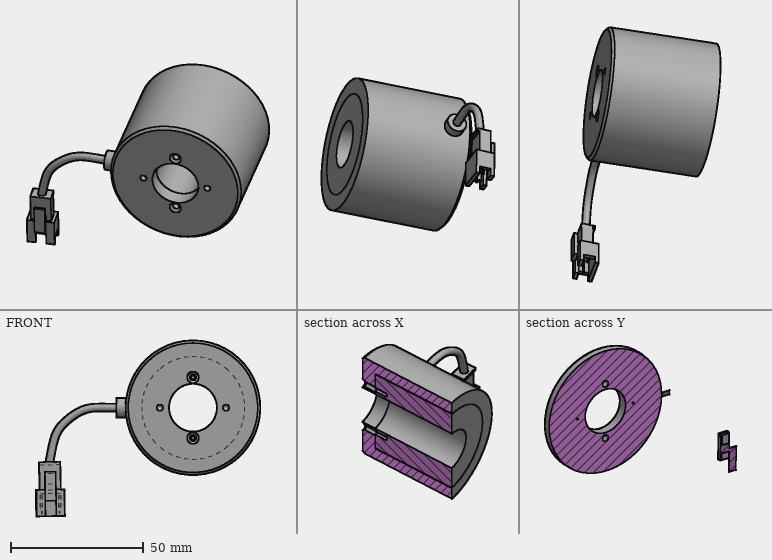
import cadquery as cq
import math

HOUSING_RADIUS = 25.5
HOUSING_LENGTH = 42.0
HOUSING_CHAMFER = 1.0
WALL = 6.0
BORE_RADIUS = 9.0

CORE_RADIUS = HOUSING_RADIUS - WALL
CORE_LENGTH = HOUSING_LENGTH - WALL

SIDE_HOLE_OFFSET = 12.5
SIDE_HOLE_RADIUS = 1.2
SIDE_HOLE_DEPTH = 3.4

SCREW_OFFSET = 11.5
SCREW_HOLE_RADIUS = 1.2
COUNTERSINK_RADIUS = 2.2
COUNTERSINK_DEPTH = COUNTERSINK_RADIUS - SCREW_HOLE_RADIUS
PILOT_RADIUS = 0.8
PILOT_DEPTH = 5.1
DRILL_TIP_HALF_ANGLE = 59.0

CABLE_Y = 7.55
GLAND_RADIUS = 3.7
GLAND_END_X = -28.95
CABLE_RADIUS = 1.5
CABLE_BEND_POINTS = [(-42.4, -1.3), (-48.8, -5.9)]
CABLE_END_LEAN = 10.0
CABLE_OVERRUN = 0.85

CONNECTOR_X = -54.2
CONNECTOR_TOP_Z = -20.5
CONNECTOR_YAW = 2.5
CONNECTOR_ROLL = -1.1

NECK_WIDTH = 8.0
NECK_FRONT = -2.7
NECK_REAR = 1.8
NECK_HEIGHT = 10.4
LIP_REAR = -NECK_FRONT
LIP_HEIGHT = 1.0

SHELL_WIDTH = 10.6
SHELL_DEPTH = 7.3
SHELL_HEIGHT = 10.1
SHELL_WALL = 1.45
SHELL_FRONT = -SHELL_DEPTH / 2
SHELL_BOTTOM = -NECK_HEIGHT - SHELL_HEIGHT
CAVITY_WIDTH = SHELL_WIDTH - 2 * SHELL_WALL
CAVITY_DEPTH = SHELL_DEPTH - 2 * SHELL_WALL
CAVITY_TOP = -NECK_HEIGHT - SHELL_WALL
NOTCH_HEIGHT = 3.0

LATCH_WIDTH = 4.1
LATCH_THICKNESS = 1.45
LATCH_TOP = -3.7
LATCH_HEIGHT = 10.95
LATCH_CHAMFER = 0.5
BRIDGE_HEIGHT = 2.1

PIN_SIZE = 0.5
PIN_OFFSET = 3.3
PIN_RECESS = 1.3


def y_cylinder(radius, start, length, x=0.0, z=0.0):
    """Cylinder along +Y from Y = start."""
    return cq.Workplane(cq.Solid.makeCylinder(radius, length, cq.Vector(x, start, z), cq.Vector(0, 1, 0)))


def y_cone(start_radius, end_radius, start, length, x=0.0, z=0.0):
    """Cone along +Y from Y = start."""
    return cq.Workplane(
        cq.Solid.makeCone(start_radius, end_radius, length, cq.Vector(x, start, z), cq.Vector(0, 1, 0))
    )


def drilled_hole(radius, start, depth, x=0.0, z=0.0):
    """Blind hole along +Y with a conical bottom."""
    tip_length = radius / math.tan(math.radians(DRILL_TIP_HALF_ANGLE))
    tip = y_cone(radius, 0, start + depth, tip_length, x, z)
    return y_cylinder(radius, start, depth, x, z).union(tip)


def block(width, y_range, z_range):
    """Box centred on X = 0 between two Y values and two Z values."""
    y_min, y_max = y_range
    z_min, z_max = z_range
    size = (width, y_max - y_min, z_max - z_min)
    return cq.Workplane("XY", origin=(0, y_min, z_min)).box(*size, centered=(True, False, False))


def make_housing():
    body = y_cylinder(HOUSING_RADIUS, 0, HOUSING_LENGTH).faces("<Y").chamfer(HOUSING_CHAMFER)
    body = body.cut(y_cylinder(CORE_RADIUS, WALL, CORE_LENGTH))
    body = body.cut(y_cylinder(BORE_RADIUS, 0, WALL))
    for side in (-1, 1):
        body = body.cut(drilled_hole(SIDE_HOLE_RADIUS, 0, SIDE_HOLE_DEPTH, x=side * SIDE_HOLE_OFFSET))
        screw_z = side * SCREW_OFFSET
        body = body.cut(y_cylinder(SCREW_HOLE_RADIUS, 0, WALL, z=screw_z))
        body = body.cut(y_cone(COUNTERSINK_RADIUS, SCREW_HOLE_RADIUS, 0, COUNTERSINK_DEPTH, z=screw_z))
    return body


def make_core():
    body = y_cylinder(CORE_RADIUS, WALL, CORE_LENGTH)
    body = body.cut(y_cylinder(BORE_RADIUS, WALL, CORE_LENGTH))
    for side in (-1, 1):
        body = body.cut(drilled_hole(PILOT_RADIUS, WALL, PILOT_DEPTH, z=side * SCREW_OFFSET))
    return body


def make_gland():
    """Round boss whose inner end follows the outside of the housing."""
    boss = cq.Workplane("YZ", origin=(GLAND_END_X, CABLE_Y, 0)).circle(GLAND_RADIUS).extrude(-GLAND_END_X)
    return boss.cut(y_cylinder(HOUSING_RADIUS, 0, HOUSING_LENGTH))


def make_connector():
    neck = block(NECK_WIDTH, (NECK_FRONT, NECK_REAR), (-NECK_HEIGHT, 0))
    lip = block(NECK_WIDTH, (NECK_REAR, LIP_REAR), (-LIP_HEIGHT, 0))

    shell = block(SHELL_WIDTH, (SHELL_FRONT, -SHELL_FRONT), (SHELL_BOTTOM, -NECK_HEIGHT))
    cavity_y = (-CAVITY_DEPTH / 2, CAVITY_DEPTH / 2)
    cavity = block(CAVITY_WIDTH, cavity_y, (SHELL_BOTTOM, CAVITY_TOP))
    side_notches = block(SHELL_WIDTH, cavity_y, (SHELL_BOTTOM, SHELL_BOTTOM + NOTCH_HEIGHT))
    front_slot = block(LATCH_WIDTH, (SHELL_FRONT, 0), (SHELL_BOTTOM, CAVITY_TOP))
    shell = shell.cut(cavity).cut(side_notches).cut(front_slot)

    latch_y = (SHELL_FRONT - LATCH_THICKNESS, SHELL_FRONT)
    latch = block(LATCH_WIDTH, latch_y, (LATCH_TOP - LATCH_HEIGHT, LATCH_TOP))
    latch = latch.faces(">Z").edges(">Y").chamfer(LATCH_CHAMFER)
    bridge = block(LATCH_WIDTH, (SHELL_FRONT, NECK_FRONT), (-NECK_HEIGHT, BRIDGE_HEIGHT - NECK_HEIGHT))

    body = neck.union(lip).union(shell).union(bridge).union(latch)
    pin = block(PIN_SIZE, (-PIN_SIZE / 2, PIN_SIZE / 2), (SHELL_BOTTOM + PIN_RECESS, CAVITY_TOP))
    for side in (-1, 1):
        body = body.union(pin.translate((side * PIN_OFFSET, 0, 0)))

    body = body.rotate((0, 0, 0), (0, 0, 1), CONNECTOR_YAW)
    body = body.rotate((0, 0, 0), (0, 1, 0), CONNECTOR_ROLL)
    return body.translate((CONNECTOR_X, CABLE_Y, CONNECTOR_TOP_Z))


def make_cable(connector):
    """Curved cable from the gland, trimmed where it meets the top of the connector."""
    lean = math.radians(CABLE_END_LEAN)
    end_direction = (-math.sin(lean), -math.cos(lean))
    end = (CONNECTOR_X, CONNECTOR_TOP_Z)
    overrun_end = tuple(p + CABLE_OVERRUN * d for p, d in zip(end, end_direction))
    path = (
        cq.Workplane("XZ", origin=(0, CABLE_Y, 0))
        .moveTo(GLAND_END_X, 0)
        .spline([*CABLE_BEND_POINTS, end], tangents=[(-1, 0), end_direction], includeCurrent=True)
        .lineTo(*overrun_end)
    )
    cable = cq.Workplane("YZ", origin=(GLAND_END_X, CABLE_Y, 0)).circle(CABLE_RADIUS).sweep(path)
    return cable.cut(connector)


housing = make_housing()
core = make_core()
gland = make_gland()
connector = make_connector()
cable = make_cable(connector)

bodies = [housing, core, gland, cable, connector]
result = cq.Compound.makeCompound([body.solids().val() for body in bodies])